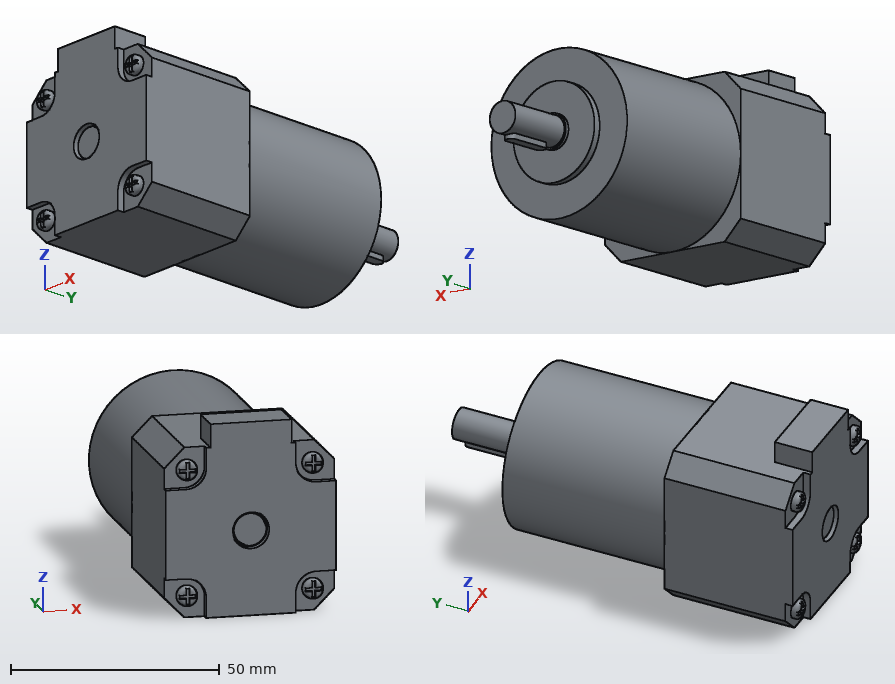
import cadquery as cq

total_length = 98.5
motor_length = 34.0
gearbox_length = 43.0
pilot_length = 2.0
collar_length = 1.0

body_width = 42.0
flat_width = 32.0

connector_width = 20.0
connector_depth = 9.9
connector_top = 26.8

pocket_size = 9.9
pocket_depth = 1.9
pocket_radius = 5.0
screw_spacing = 31.0
screw_diameter = 5.0
screw_dome_radius = 1.0
cross_length = 4.0
cross_width = 0.9
cross_depth = 0.9

rear_hole_diameter = 9.0
rear_hole_depth = 2.0
rear_shaft_recess = 1.0

pilot_diameter = 25.0
collar_diameter = 9.0
shaft_diameter = 8.0
key_length = 14.0
key_width = 3.1
key_end_gap = 1.8
key_reach = 5.1

half_width = body_width / 2
corner_chamfer = (body_width - flat_width) / 2
gearbox_end = motor_length + gearbox_length
pilot_end = gearbox_end + pilot_length
collar_end = pilot_end + collar_length
corner_signs = [(side_x, side_z) for side_x in (-1, 1) for side_z in (-1, 1)]


def cylinder_y(diameter, y_start, y_end):
    """Cylinder on the shaft axis between two Y positions."""
    base = cq.Workplane("XZ", origin=(0, y_start, 0)).circle(diameter / 2)
    return base.extrude(y_start - y_end)


def box_y(width, length, height):
    """Box centred on X and Z that starts at Y = 0 and runs toward +Y."""
    return cq.Workplane("XY").box(width, length, height, centered=(True, False, True))


def make_body():
    """Square motor body with chamfered long edges and the connector on top."""
    block = box_y(body_width, motor_length, body_width).edges("|Y").chamfer(corner_chamfer)
    connector = box_y(connector_width, connector_depth, connector_top)
    return block.union(connector.translate((0, 0, connector_top / 2)))


def make_pocket(side_x, side_z):
    """Cutter for one corner pocket, rounded at its inner corner."""
    inner_x = "<X" if side_x > 0 else ">X"
    inner_z = "<Z" if side_z > 0 else ">Z"
    center = half_width - pocket_size / 2
    cutter = box_y(pocket_size, pocket_depth, pocket_size)
    cutter = cutter.edges("|Y").edges(f"{inner_x} and {inner_z}").fillet(pocket_radius)
    return cutter.translate((side_x * center, 0, side_z * center))


def make_screw(side_x, side_z):
    """Domed screw head with a cross slot, standing on the pocket floor."""
    head = cylinder_y(screw_diameter, 0, pocket_depth).edges("<Y").fillet(screw_dome_radius)
    head = head.cut(box_y(cross_length, cross_depth, cross_width))
    head = head.cut(box_y(cross_width, cross_depth, cross_length))
    return head.translate((side_x * screw_spacing / 2, 0, side_z * screw_spacing / 2))


def make_output():
    """Gearbox, pilot, collar and output shaft."""
    output = cylinder_y(body_width, motor_length, gearbox_end)
    output = output.union(cylinder_y(pilot_diameter, gearbox_end, pilot_end))
    output = output.union(cylinder_y(collar_diameter, pilot_end, collar_end))
    return output.union(cylinder_y(shaft_diameter, collar_end, total_length))


def make_key():
    """Round-ended key on the underside of the output shaft."""
    key_center = total_length - key_end_gap - key_length / 2
    base = cq.Workplane("XY", origin=(0, key_center, 0))
    return base.slot2D(key_length, key_width, 90).extrude(-key_reach)


result = make_body()
for side_x, side_z in corner_signs:
    result = result.cut(make_pocket(side_x, side_z))
    result = result.union(make_screw(side_x, side_z))

result = result.cut(cylinder_y(rear_hole_diameter, 0, rear_hole_depth))
result = result.union(cylinder_y(shaft_diameter, rear_shaft_recess, rear_hole_depth))

result = result.union(make_output()).union(make_key())